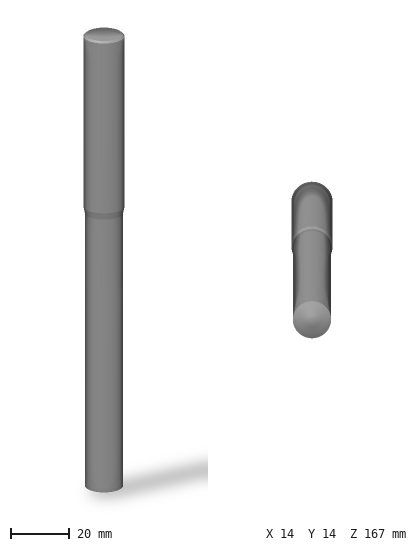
import cadquery as cq
import math

total_length = 167.0
shank_diameter = 14.0
drill_diameter = 13.0
point_angle = 140.0

joint_height = 75.7
shoulder_bottom = 101.9
shoulder_top = 104.4
end_chamfer = 0.7

shank_radius = shank_diameter / 2
drill_radius = drill_diameter / 2
point_height = drill_radius / math.tan(math.radians(point_angle / 2))


def revolve_profile(points):
    """Turn a closed (radius, height) outline about the Z axis."""
    return cq.Workplane("XZ").polyline(points).close().revolve(360, (0, 0), (0, 1))


def make_shank():
    """Chamfered shank tapering through a conical shoulder into the neck."""
    return revolve_profile([
        (0, joint_height),
        (drill_radius, joint_height),
        (drill_radius, shoulder_bottom),
        (shank_radius, shoulder_top),
        (shank_radius, total_length - end_chamfer),
        (shank_radius - end_chamfer, total_length),
        (0, total_length),
    ])


def make_cutting_part():
    """Plain cylinder with a conical point, meeting the neck at the joint."""
    return revolve_profile([
        (0, 0),
        (drill_radius, point_height),
        (drill_radius, joint_height),
        (0, joint_height),
    ])


shank = make_shank()
cutting_part = make_cutting_part()

result = cq.Compound.makeCompound([shank.val(), cutting_part.val()])